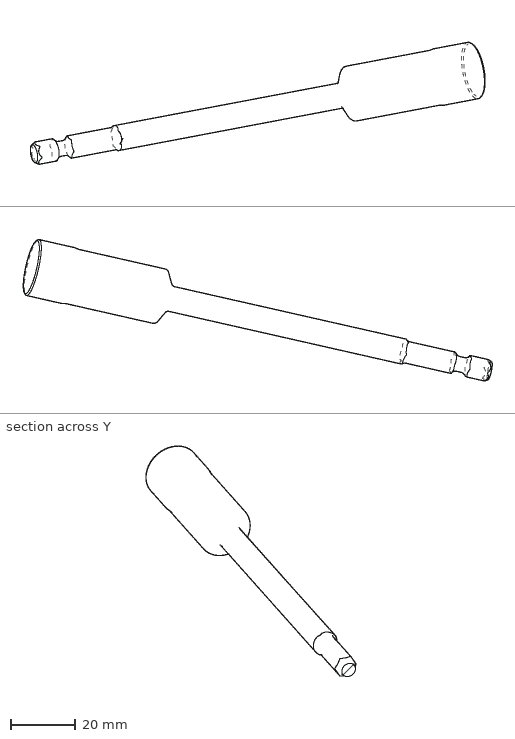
import cadquery as cq
import math

OVERALL_LENGTH = 150.0

HEX_SIDES = 6
HEX_ACROSS_FLATS = 6.35
HEX_LENGTH = 26.9
HEX_RUNOUT_RADIUS = 1.5
HEX_CORNER_ROUND = 0.5
TIP_FACE_RADIUS = 2.9
TIP_CHAMFER_ANGLE = 30.0

GROOVE_CENTRE_Y = 9.5
GROOVE_FLOOR_LENGTH = 1.4
GROOVE_FLOOR_RADIUS = 2.4
GROOVE_SIDE_RADIUS = 2.0

SHANK_RADIUS = 4.0

COLLAR_RADIUS = 9.0
COLLAR_LENGTH = 12.0
COLLAR_TAPER_LENGTH = 1.4
COLLAR_RIM_CHAMFER = 0.5
HEAD_RADIUS = 8.75
HEAD_STRAIGHT_END = 41.8
SHOULDER_ROUND = 1.0
SHOULDER_ANGLE = 60.0
NECK_FILLET = 1.5

HEX_APOTHEM = HEX_ACROSS_FLATS / 2
HEX_CORNER_RADIUS = HEX_APOTHEM / math.cos(math.pi / HEX_SIDES)
CUT_MARGIN = 1.0


def arc_point(centre, radius, degrees):
    """Point on an arc in the (radius, Y) half plane; 0 degrees points outward, 90 towards +Y."""
    angle = math.radians(degrees)
    return (centre[0] + radius * math.cos(angle), centre[1] + radius * math.sin(angle))


def revolve_about_y(profile):
    return profile.close().revolve(360, (0, 0, 0), (0, 1, 0))


def turned_blank():
    """Shank and socket head as one turned piece."""
    round_y = OVERALL_LENGTH - HEAD_STRAIGHT_END
    round_centre = (HEAD_RADIUS - SHOULDER_ROUND, round_y)
    cone_start = arc_point(round_centre, SHOULDER_ROUND, -SHOULDER_ANGLE)

    fillet_turn = 180 - SHOULDER_ANGLE
    cone_end_radius = SHANK_RADIUS + NECK_FILLET * (1 - math.cos(math.radians(SHOULDER_ANGLE)))
    cone_length = (cone_start[0] - cone_end_radius) / math.tan(math.radians(SHOULDER_ANGLE))
    cone_end = (cone_end_radius, cone_start[1] - cone_length)
    fillet_drop = NECK_FILLET * math.sin(math.radians(SHOULDER_ANGLE))
    fillet_centre = (SHANK_RADIUS + NECK_FILLET, cone_end[1] - fillet_drop)

    profile = (
        cq.Workplane("XY")
        .moveTo(0, 0)
        .lineTo(SHANK_RADIUS, 0)
        .lineTo(SHANK_RADIUS, fillet_centre[1])
        .threePointArc(arc_point(fillet_centre, NECK_FILLET, (180 + fillet_turn) / 2), cone_end)
        .lineTo(*cone_start)
        .threePointArc(
            arc_point(round_centre, SHOULDER_ROUND, -SHOULDER_ANGLE / 2),
            (HEAD_RADIUS, round_y),
        )
        .lineTo(HEAD_RADIUS, OVERALL_LENGTH - COLLAR_LENGTH - COLLAR_TAPER_LENGTH)
        .lineTo(COLLAR_RADIUS, OVERALL_LENGTH - COLLAR_LENGTH)
        .lineTo(COLLAR_RADIUS, OVERALL_LENGTH - COLLAR_RIM_CHAMFER)
        .lineTo(COLLAR_RADIUS - COLLAR_RIM_CHAMFER, OVERALL_LENGTH)
        .lineTo(0, OVERALL_LENGTH)
    )
    return revolve_about_y(profile)


def hex_flat_cutter():
    """Tool that mills the top flat, ending in a concave run-out."""
    runout_centre = (HEX_LENGTH, HEX_APOTHEM + HEX_RUNOUT_RADIUS)
    runout_middle = arc_point(runout_centre, HEX_RUNOUT_RADIUS, -45)
    return (
        cq.Workplane("YZ")
        .moveTo(-CUT_MARGIN, HEX_APOTHEM)
        .lineTo(HEX_LENGTH, HEX_APOTHEM)
        .threePointArc(runout_middle, (HEX_LENGTH + HEX_RUNOUT_RADIUS, runout_centre[1]))
        .lineTo(-CUT_MARGIN, runout_centre[1])
        .close()
        .extrude(SHANK_RADIUS + CUT_MARGIN, both=True)
    )


def groove_cutter():
    """Ring with a cylindrical floor and a rounded rise on each side."""
    half_floor = GROOVE_FLOOR_LENGTH / 2
    low_y = GROOVE_CENTRE_Y - half_floor
    high_y = GROOVE_CENTRE_Y + half_floor
    side_centre_radius = GROOVE_FLOOR_RADIUS + GROOVE_SIDE_RADIUS
    low_centre = (side_centre_radius, low_y)
    high_centre = (side_centre_radius, high_y)
    profile = (
        cq.Workplane("XY")
        .moveTo(side_centre_radius, low_y - GROOVE_SIDE_RADIUS)
        .threePointArc(arc_point(low_centre, GROOVE_SIDE_RADIUS, 225), (GROOVE_FLOOR_RADIUS, low_y))
        .lineTo(GROOVE_FLOOR_RADIUS, high_y)
        .threePointArc(
            arc_point(high_centre, GROOVE_SIDE_RADIUS, 135),
            (side_centre_radius, high_y + GROOVE_SIDE_RADIUS),
        )
    )
    return revolve_about_y(profile)


def tip_chamfer_cutter():
    """Conical chamfer that rounds the six corners at the tip."""
    outer_radius = HEX_CORNER_RADIUS + CUT_MARGIN
    chamfer_length = (outer_radius - TIP_FACE_RADIUS) / math.tan(math.radians(TIP_CHAMFER_ANGLE))
    profile = (
        cq.Workplane("XY")
        .moveTo(TIP_FACE_RADIUS, 0)
        .lineTo(outer_radius, chamfer_length)
        .lineTo(outer_radius, 0)
    )
    return revolve_about_y(profile)


nut_driver = turned_blank()
for side in range(HEX_SIDES):
    side_angle = 360 / HEX_SIDES * side
    nut_driver = nut_driver.cut(hex_flat_cutter().rotate((0, 0, 0), (0, 1, 0), side_angle))

hex_corner_edges = cq.selectors.BoxSelector(
    (-SHANK_RADIUS, CUT_MARGIN, -SHANK_RADIUS),
    (SHANK_RADIUS, HEX_LENGTH, SHANK_RADIUS),
)
nut_driver = nut_driver.edges(hex_corner_edges).edges("|Y").fillet(HEX_CORNER_ROUND)
nut_driver = nut_driver.cut(groove_cutter()).cut(tip_chamfer_cutter())

result = cq.Compound.makeCompound([nut_driver.val()])